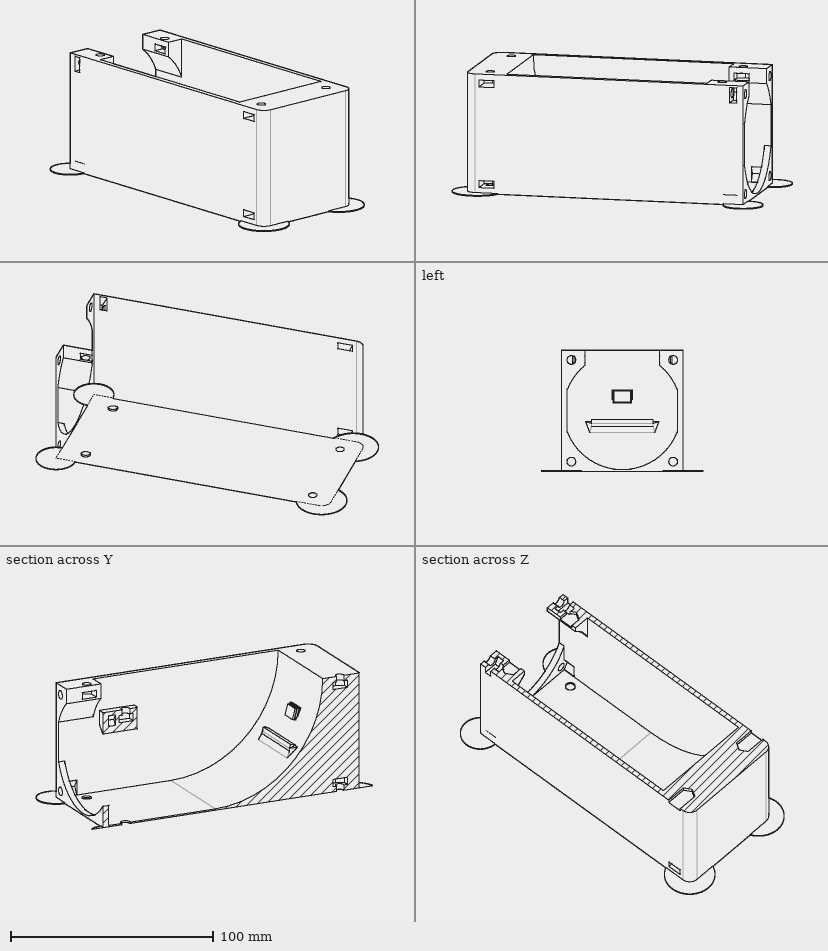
import cadquery as cq
import math

overall_length = 158.9
body_width = 60.0
body_height = 60.0
wall = 2.9
floor_thickness = 1.0
face_plate_thickness = 3.3
corner_radius = 5.0

disc_thickness = 0.5
front_disc_diameter = 19.9
rear_disc_diameter = 25.1

body_length = overall_length - (front_disc_diameter + rear_disc_diameter) / 2 + corner_radius
half_width = body_width / 2
inner_half_width = half_width - wall

fan_opening_radius = 29.0
fan_axis_height = body_height / 2

post_length = 19.0
post_width = 11.6

ramp_radius = body_height - floor_thickness
cavity_end = 121.0
ramp_start = cavity_end - ramp_radius

fan_screw_diameter = 4.3
fan_screw_inset = 5.0
fan_screw_depth = 10.0
cover_screw_diameter = 4.1
floor_hole_diameter = 4.8
front_screw_x = 12.7
rear_screw_inset = 10.6
rear_screw_x = body_length - rear_screw_inset
cover_screw_inset = 8.5
nut_across_flats = 7.6
nut_thickness = 3.5
nut_depth = 3.0
cover_screw_depth = nut_depth + nut_thickness

plug_tilt = 15.0

small_plug_width = 11.1
small_plug_height = 7.2
small_plug_tip_x = 114.2
small_plug_tip_z = 37.8
small_plug_layers = 4
layer_length = 1.0
layer_inset = 0.5

wide_plug_half_width = 15.3
wide_plug_height = 2.0
wide_plug_length = 4.8
wide_plug_tip_x = 106.8
wide_plug_top_z = 25.7

flare_low_z = 19.2
flare_high_z = 24.8
flare_low_half_width = 16.0
flare_high_half_width = 18.1
flare_front_height = 1.5
flare_root_depth = 1.6


def box(x_range, y_range, z_range):
    size = [high - low for low, high in (x_range, y_range, z_range)]
    return cq.Workplane("XY").box(*size, centered=False).translate((x_range[0], y_range[0], z_range[0]))


def upright_cylinder(x, y, diameter, z_low, z_high):
    return cq.Workplane("XY", origin=(x, y, z_low)).circle(diameter / 2).extrude(z_high - z_low)


def nut_prism(thickness):
    """Hexagonal prism along +Z with its corners towards +Y and -Y."""
    corner_distance = nut_across_flats / math.sqrt(3)
    corners = [
        (corner_distance * math.sin(math.radians(60 * i)), corner_distance * math.cos(math.radians(60 * i)))
        for i in range(6)
    ]
    return cq.Workplane("XY").polyline(corners).close().extrude(thickness)


def nut_slot(thickness, reach):
    """Nut pocket along +Z, open towards +Y as far as reach."""
    half = nut_across_flats / 2
    return nut_prism(thickness).union(box((-half, half), (0, reach), (0, thickness)))


def both_sides(shape):
    return shape.union(shape.mirror("XZ"))


def make_body():
    outside = box((0, body_length), (-half_width, half_width), (0, body_height))
    return outside.edges("|Z and >X").fillet(corner_radius)


def make_cavity():
    profile = (
        cq.Workplane("XZ", origin=(0, inner_half_width, 0))
        .moveTo(face_plate_thickness, floor_thickness)
        .lineTo(ramp_start, floor_thickness)
        .radiusArc((cavity_end, body_height), -ramp_radius)
        .lineTo(face_plate_thickness, body_height)
        .close()
    )
    return profile.extrude(2 * inner_half_width)


def make_fan_opening():
    """Round opening with flat sides, open to the top between the posts."""
    opening = (
        cq.Workplane("YZ", origin=(0, 0, fan_axis_height))
        .circle(fan_opening_radius)
        .extrude(post_length)
        .intersect(box((0, post_length), (-inner_half_width, inner_half_width), (0, body_height)))
    )
    gap_half_width = half_width - post_width
    top_gap = box((0, post_length), (-gap_half_width, gap_half_width), (fan_axis_height, body_height))
    return opening.union(top_gap)


def make_posts():
    post = box((0, post_length), (half_width - post_width, half_width), (fan_axis_height, body_height))
    return both_sides(post)


def make_discs():
    rear_x = body_length - corner_radius
    front = upright_cylinder(0, half_width, front_disc_diameter, 0, disc_thickness)
    rear = upright_cylinder(rear_x, half_width - corner_radius, rear_disc_diameter, 0, disc_thickness)
    return both_sides(front), both_sides(rear)


def cut_fan_screws(part):
    y = half_width - fan_screw_inset
    for z in (fan_screw_inset, body_height - fan_screw_inset):
        hole = cq.Workplane("YZ", origin=(0, y, z)).circle(fan_screw_diameter / 2).extrude(fan_screw_depth)
        part = part.cut(both_sides(hole))

    slot = nut_slot(nut_thickness, fan_screw_inset).rotate((0, 0, 0), (0, 1, 0), 90)
    part = part.cut(both_sides(slot.translate((face_plate_thickness, y, body_height - fan_screw_inset))))

    pocket = nut_prism(fan_screw_depth - face_plate_thickness).rotate((0, 0, 0), (0, 1, 0), 90)
    return part.cut(both_sides(pocket.translate((face_plate_thickness, y, fan_screw_inset))))


def cut_cover_screws(part):
    y = half_width - cover_screw_inset
    top_nut_z = body_height - nut_depth - nut_thickness
    top_hole_z = body_height - cover_screw_depth

    front_hole = upright_cylinder(front_screw_x, y, cover_screw_diameter, top_hole_z, body_height)
    front_slot = nut_slot(nut_thickness, half_width - cover_screw_inset).rotate((0, 0, 0), (0, 0, 1), 180)
    part = part.cut(both_sides(front_hole))
    part = part.cut(both_sides(front_slot.translate((front_screw_x, y, top_nut_z))))
    part = part.cut(both_sides(upright_cylinder(front_screw_x, y, floor_hole_diameter, 0, floor_thickness)))

    rear_slot = nut_slot(nut_thickness, cover_screw_inset)
    for hole_z, nut_z in ((top_hole_z, top_nut_z), (0, nut_depth)):
        hole = upright_cylinder(rear_screw_x, y, cover_screw_diameter, hole_z, hole_z + cover_screw_depth)
        part = part.cut(both_sides(hole))
        part = part.cut(both_sides(rear_slot.translate((rear_screw_x, y, nut_z))))
    return part


def make_small_plug():
    """Layers stacked from the tip into the ramp; the underside stays flat."""
    plug = cq.Workplane("XY")
    for i in range(small_plug_layers):
        inset = layer_inset * (small_plug_layers - 1 - i)
        layer_half_width = small_plug_width / 2 - inset
        layer = box(
            (i * layer_length, (i + 1) * layer_length),
            (-layer_half_width, layer_half_width),
            (-small_plug_height / 2, small_plug_height / 2 - inset),
        )
        plug = plug.union(layer)
    return plug.rotate((0, 0, 0), (0, 1, 0), plug_tilt).translate((small_plug_tip_x, 0, small_plug_tip_z))


def make_wide_plug():
    plug = box(
        (0, wide_plug_length),
        (-wide_plug_half_width, wide_plug_half_width),
        (-wide_plug_height, 0),
    )
    return plug.rotate((0, 0, 0), (0, 1, 0), plug_tilt).translate((wide_plug_tip_x, 0, wide_plug_top_z))


def ramp_point(z):
    """X and Z of the ramp surface at height z."""
    return ramp_start + math.sqrt(ramp_radius ** 2 - (body_height - z) ** 2), z


def trapezoid_wire(low_point, low_half_width, high_point, high_half_width):
    low_x, low_z = low_point
    high_x, high_z = high_point
    corners = [
        (low_x, -low_half_width, low_z),
        (low_x, low_half_width, low_z),
        (high_x, high_half_width, high_z),
        (high_x, -high_half_width, high_z),
    ]
    return cq.Wire.makePolygon([cq.Vector(*corner) for corner in corners], close=True)


def make_flare():
    tilt = math.radians(plug_tilt)
    front_x = wide_plug_tip_x - wide_plug_height * math.sin(tilt)
    front_top_z = wide_plug_top_z - wide_plug_height * math.cos(tilt)
    foot = trapezoid_wire(
        ramp_point(flare_low_z), flare_low_half_width,
        ramp_point(flare_high_z), flare_high_half_width,
    )
    front = trapezoid_wire(
        (front_x, front_top_z - flare_front_height), wide_plug_half_width,
        (front_x, front_top_z), wide_plug_half_width,
    )
    slopes = cq.Solid.makeLoft([foot, front], True)
    root = cq.Solid.extrudeLinear(foot, [], cq.Vector(flare_root_depth, 0, 0))
    return cq.Workplane(slopes).union(cq.Workplane(root))


result = make_body().cut(make_cavity()).union(make_posts()).cut(make_fan_opening())
for discs in make_discs():
    result = result.union(discs)
result = cut_fan_screws(result)
result = cut_cover_screws(result)
result = result.union(make_small_plug()).union(make_wide_plug()).union(make_flare())